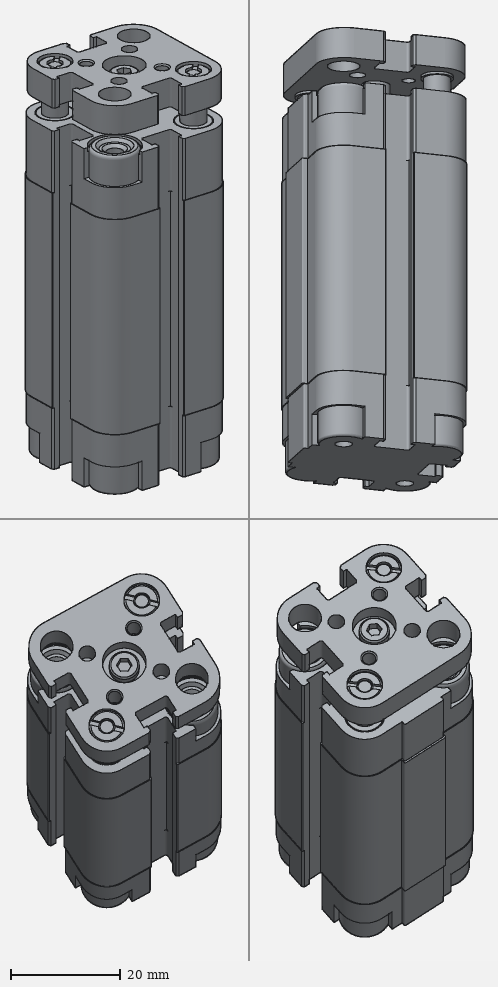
import cadquery as cq
import math

TOTAL_HEIGHT = 78.5
TOTAL_DEPTH = 30.0
GUIDE_OFFSET = 9.0

BARREL_WIDTH = 29.0
CAP_WIDTH = 28.65
HOUSING_HEIGHT = 68.1
CAP_HEIGHT = 12.4
BARREL_HEIGHT = HOUSING_HEIGHT - 2 * CAP_HEIGHT

BARREL_STRIP_WIDTH = 9.4
BARREL_STRIP_REACH = TOTAL_DEPTH - BARREL_WIDTH / 2
CAP_STRIP_WIDTH = 8.95
CAP_STRIP_REACH = 15.15
STRIP_FILLET = 0.2

SLOT_MOUTH_WIDTH = 5.3
SLOT_INNER_WIDTH = 6.8
SLOT_FLOOR = 9.5
SLOT_LIP = 12.9
SLOT_FLOOR_RADIUS = 0.5
END_LIP_CHAMFER = (0.3, 0.5)
BARREL_LIP_CHAMFER = (0.15, 0.15)

BOSS_DIAMETER = 9.5
NOTCH_START = 6.75
TOP_NOTCH_DEPTH = 6.05
BOTTOM_NOTCH_DEPTH = 5.9
BOSS_CROWN = 0.1
TOP_ROUND_HEIGHT = 0.8
BOTTOM_ROUND_HEIGHT = 0.5
TOP_GROOVE_DIAMETER = 10.05

MOUNT_DIAMETER = 3.2
MOUNT_CONE_DIAMETER = 4.6
MOUNT_CONE_HEIGHT = 0.6
MOUNT_RECESS_FLOOR_DIAMETER = 5.7
MOUNT_RECESS_DIAMETER = 7.0
MOUNT_RECESS_DEPTH = 0.6

PLATE_WIDTH = 28.4
PLATE_CORNER_RADIUS = 5.4
PLATE_THICKNESS = 5.8
PLATE_BOTTOM = TOTAL_HEIGHT - PLATE_THICKNESS
ACCESS_HOLE_DIAMETER = 6.0
SMALL_HOLE_OFFSET = 4.95
SMALL_HOLE_DIAMETER = 3.0
THREAD_DIAMETER = 2.4
CENTRE_BORE_DIAMETER = 8.0
CENTRE_BORE_DEPTH = 3.0

ROD_DIAMETER = 6.0
ROD_FLATS_WIDTH = 4.95
ROD_FLATS_BOTTOM = 69.95
ROD_END_DIAMETER = 5.5
ROD_END_TOP = 77.3
ROD_END_CHAMFER = 0.3
HEX_WIDTH = 2.4
HEX_DEPTH = 1.6

GUIDE_DIAMETER = 5.0
COLLAR_DIAMETER = 6.0
COLLAR_HEIGHT = 0.5
BUSHING_DIAMETER = 7.0
BUSHING_GROOVE_DIAMETER = 7.3
BUSHING_GROOVE_DEPTH = 0.4

HEAD_DIAMETER = 6.5
HEAD_TOP = 78.1
HEAD_CHAMFER = 0.4
HEAD_SLOT_WIDTH = 1.0
HEAD_SLOT_DEPTH = 0.6
TIP_DIAMETER = 3.0
TIP_TOP_DIAMETER = 2.4
TIP_RECESS = 0.6
TIP_HEIGHT = 0.3

RODS_BOTTOM = CAP_HEIGHT

CORNERS = [(x, y) for x in (-1, 1) for y in (-1, 1)]
GUIDE_CORNERS = [(x, y) for x, y in CORNERS if x == y]
MOUNT_CORNERS = [(x, y) for x, y in CORNERS if x != y]
SLOT_ANGLES = (-90, 0, 180)


def at_corners(corners, offset):
    return [(x * offset, y * offset) for x, y in corners]


def cylinder(diameter, bottom, top, points=((0, 0),)):
    """One cylinder, or a set of equal ones, between two heights."""
    base = cq.Workplane("XY", origin=(0, 0, bottom))
    return base.pushPoints(points).circle(diameter / 2).extrude(top - bottom)


def cone(bottom_diameter, top_diameter, bottom, top, point):
    foot = cq.Vector(*point, bottom)
    return cq.Workplane(cq.Solid.makeCone(bottom_diameter / 2, top_diameter / 2, top - bottom, pnt=foot))


def slot(face, lip_chamfer, floor_radius, bottom, height):
    """T-slot that opens to +X at the distance `face` from the axis."""
    chamfer_depth, chamfer_width = lip_chamfer
    mouth = SLOT_MOUTH_WIDTH / 2
    inner = SLOT_INNER_WIDTH / 2
    half = [
        (SLOT_LIP, inner),
        (SLOT_LIP, mouth),
        (face - chamfer_depth, mouth),
        (face, mouth + chamfer_width),
    ]
    outline = [(SLOT_FLOOR, inner)] + half + [(x, -y) for x, y in reversed(half)] + [(SLOT_FLOOR, -inner)]
    body = cq.Workplane("XY", origin=(0, 0, bottom)).polyline(outline).close().extrude(height)
    if floor_radius:
        body = body.edges("|Z").edges("<X").fillet(floor_radius)
    return body


def slotted_block(width, corner_radius, bottom, height, lip_chamfer, floor_radius=0):
    """Square block with rounded corners and a T-slot in three sides."""
    block = (
        cq.Workplane("XY", origin=(0, 0, bottom))
        .rect(width, width)
        .extrude(height)
        .edges("|Z")
        .fillet(corner_radius)
    )
    cutter = slot(width / 2, lip_chamfer, floor_radius, bottom, height)
    for angle in SLOT_ANGLES:
        block = block.cut(cutter.rotate((0, 0, 0), (0, 0, 1), angle))
    return block


def barrel_block():
    corner_radius = BARREL_WIDTH / 2 - GUIDE_OFFSET
    return slotted_block(BARREL_WIDTH, corner_radius, CAP_HEIGHT, BARREL_HEIGHT, BARREL_LIP_CHAMFER)


def cap_block(bottom):
    corner_radius = CAP_WIDTH / 2 - GUIDE_OFFSET
    return slotted_block(CAP_WIDTH, corner_radius, bottom, CAP_HEIGHT, END_LIP_CHAMFER, SLOT_FLOOR_RADIUS)


def strip(width, reach, bottom, height):
    """Strip on the +Y side, long enough inward to merge with the block behind it."""
    length = reach - SLOT_FLOOR
    return (
        cq.Workplane("XY", origin=(0, SLOT_FLOOR + length / 2, bottom))
        .rect(width, length)
        .extrude(height)
        .edges("|Z and >Y")
        .fillet(STRIP_FILLET)
    )


def corner_notch(corner, height, round_height, groove_diameter=0):
    """What is cut away around one boss, with the end of the boss at the top of the housing."""
    x, y = corner
    size = BARREL_WIDTH / 2 - NOTCH_START
    centre = NOTCH_START + size / 2
    point = (x * GUIDE_OFFSET, y * GUIDE_OFFSET)
    top = HOUSING_HEIGHT
    floor = cq.Workplane("XY", origin=(x * centre, y * centre, top - height))
    notch = floor.rect(size, size).extrude(height)
    if groove_diameter:
        notch = notch.union(cylinder(groove_diameter, top - round_height, top, [point]))
    boss = cylinder(BOSS_DIAMETER, top - height, top + BOSS_CROWN, [point])
    boss = boss.faces(">Z").edges().fillet(round_height + BOSS_CROWN)
    return notch.cut(boss)


def mounting_hole(point):
    """Through hole with a tapered entry in the floor of a conical recess."""
    floor = HOUSING_HEIGHT - MOUNT_RECESS_DEPTH
    recess = cone(MOUNT_RECESS_FLOOR_DIAMETER, MOUNT_RECESS_DIAMETER, floor, HOUSING_HEIGHT, point)
    entry = cone(MOUNT_DIAMETER, MOUNT_CONE_DIAMETER, floor - MOUNT_CONE_HEIGHT, floor, point)
    return cylinder(MOUNT_DIAMETER, 0, HOUSING_HEIGHT, [point]).union(entry).union(recess)


def bushing_groove(point):
    bottom = HOUSING_HEIGHT - BUSHING_GROOVE_DEPTH
    return cylinder(BUSHING_GROOVE_DIAMETER, bottom, HOUSING_HEIGHT, [point]).cut(
        cylinder(BUSHING_DIAMETER, bottom, HOUSING_HEIGHT, [point]))


def make_housing():
    top_cap_bottom = HOUSING_HEIGHT - CAP_HEIGHT
    body = barrel_block()
    body = body.union(strip(BARREL_STRIP_WIDTH, BARREL_STRIP_REACH, CAP_HEIGHT, BARREL_HEIGHT))
    for bottom in (0, top_cap_bottom):
        body = body.union(cap_block(bottom))
        body = body.union(strip(CAP_STRIP_WIDTH, CAP_STRIP_REACH, bottom, CAP_HEIGHT))

    for corner in MOUNT_CORNERS:
        body = body.cut(corner_notch(corner, TOP_NOTCH_DEPTH, TOP_ROUND_HEIGHT, TOP_GROOVE_DIAMETER))
    middle = HOUSING_HEIGHT / 2
    for corner in CORNERS:
        notch = corner_notch(corner, BOTTOM_NOTCH_DEPTH, BOTTOM_ROUND_HEIGHT)
        body = body.cut(notch.rotate((0, 0, middle), (1, 0, middle), 180))

    for point in at_corners(MOUNT_CORNERS, GUIDE_OFFSET):
        body = body.cut(mounting_hole(point))

    guides = at_corners(GUIDE_CORNERS, GUIDE_OFFSET)
    body = body.cut(cylinder(GUIDE_DIAMETER, RODS_BOTTOM, HOUSING_HEIGHT, guides))
    for point in guides:
        body = body.cut(bushing_groove(point))
    return body.cut(cylinder(ROD_DIAMETER, RODS_BOTTOM, HOUSING_HEIGHT))


def threaded_hole(point):
    chamfer = (SMALL_HOLE_DIAMETER - THREAD_DIAMETER) / 2
    return cylinder(THREAD_DIAMETER, PLATE_BOTTOM, TOTAL_HEIGHT, [point]).union(
        cone(THREAD_DIAMETER, SMALL_HOLE_DIAMETER, TOTAL_HEIGHT - chamfer, TOTAL_HEIGHT, point))


def make_plate():
    plate = slotted_block(
        PLATE_WIDTH, PLATE_CORNER_RADIUS, PLATE_BOTTOM, PLATE_THICKNESS, END_LIP_CHAMFER, SLOT_FLOOR_RADIUS)
    plate = plate.cut(cylinder(
        ACCESS_HOLE_DIAMETER, PLATE_BOTTOM, TOTAL_HEIGHT, at_corners(MOUNT_CORNERS, GUIDE_OFFSET)))
    plate = plate.cut(cylinder(
        SMALL_HOLE_DIAMETER, PLATE_BOTTOM, TOTAL_HEIGHT, at_corners(MOUNT_CORNERS, SMALL_HOLE_OFFSET)))
    for point in at_corners(GUIDE_CORNERS, SMALL_HOLE_OFFSET):
        plate = plate.cut(threaded_hole(point))
    return plate.cut(cylinder(CENTRE_BORE_DIAMETER, TOTAL_HEIGHT - CENTRE_BORE_DEPTH, TOTAL_HEIGHT))


def make_piston_rod():
    rod = cylinder(ROD_DIAMETER, RODS_BOTTOM, PLATE_BOTTOM)
    flats_height = PLATE_BOTTOM - ROD_FLATS_BOTTOM
    between_flats = (
        cq.Workplane("XY", origin=(0, 0, ROD_FLATS_BOTTOM))
        .rect(ROD_DIAMETER, ROD_FLATS_WIDTH)
        .extrude(flats_height)
    )
    rod = rod.cut(cylinder(ROD_DIAMETER, ROD_FLATS_BOTTOM, PLATE_BOTTOM).cut(between_flats))
    end = cylinder(ROD_END_DIAMETER, PLATE_BOTTOM, ROD_END_TOP)
    end = end.faces(">Z").edges().chamfer(ROD_END_CHAMFER)
    hex_diameter = HEX_WIDTH / math.cos(math.pi / 6)
    socket = (
        cq.Workplane("XY", origin=(0, 0, ROD_END_TOP - HEX_DEPTH))
        .polygon(6, hex_diameter)
        .extrude(HEX_DEPTH)
        .rotate((0, 0, 0), (0, 0, 1), 90)
    )
    return rod.union(end).cut(socket)


def screw_head_cut(point):
    """What is cut from the plate to leave a slotted screw head with a sunk, tapered tip."""
    head = cylinder(HEAD_DIAMETER, PLATE_BOTTOM, HEAD_TOP, [point])
    head = head.faces(">Z").edges().chamfer(HEAD_CHAMFER)
    cut = cylinder(HEAD_DIAMETER, HEAD_TOP - HEAD_CHAMFER, TOTAL_HEIGHT, [point]).cut(head)
    tip_floor = HEAD_TOP - TIP_RECESS
    slot_bar = (
        cq.Workplane("XY", origin=(*point, HEAD_TOP - HEAD_SLOT_DEPTH))
        .transformed(rotate=(0, 0, -45))
        .rect(2 * HEAD_DIAMETER, HEAD_SLOT_WIDTH)
        .extrude(HEAD_SLOT_DEPTH)
        .intersect(cylinder(HEAD_DIAMETER, PLATE_BOTTOM, TOTAL_HEIGHT, [point]))
    )
    tip = cone(TIP_DIAMETER, TIP_TOP_DIAMETER, tip_floor, tip_floor + TIP_HEIGHT, point)
    tip_bore = cylinder(TIP_DIAMETER, tip_floor, HEAD_TOP, [point])
    return cut.union(slot_bar).union(tip_bore).cut(tip)


def make_slide():
    slide = make_plate().union(make_piston_rod())
    guides = at_corners(GUIDE_CORNERS, GUIDE_OFFSET)
    slide = slide.union(cylinder(GUIDE_DIAMETER, RODS_BOTTOM, PLATE_BOTTOM, guides))
    slide = slide.union(cylinder(COLLAR_DIAMETER, PLATE_BOTTOM - COLLAR_HEIGHT, PLATE_BOTTOM, guides))
    for point in guides:
        slide = slide.cut(screw_head_cut(point))
    return slide


housing = make_housing()
slide = make_slide()

result = cq.Compound.makeCompound([housing.solids().val(), slide.solids().val()])